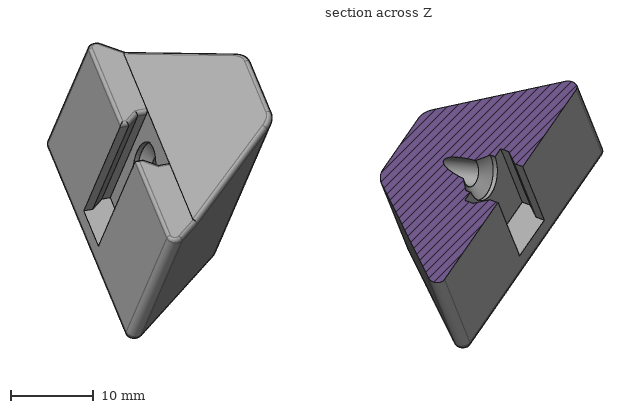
import cadquery as cq
import math

TURN_ANGLE = -45.0

LEAN_ANGLE = 20.0
FRONT_WIDTH = 40.0
THICKNESS = 14.0
FRONT_CORNER_RADIUS = 1.0
BACK_CORNER_RADIUS = 3.0
RIM_RADIUS = 0.5

SHELF_HEIGHT = 15.0
SHELF_DEPTH = 3.5
ROOF_ANGLE = 23.0

SLOT_FLOOR_HEIGHT = 2.1
SLOT_MOUTH_WIDTH = 6.6
SLOT_BACK_WIDTH = 9.5
SLOT_BACK_STRAIGHT = 1.0

HOLE_HEIGHT = 10.2
HOLE_DIAMETER = 3.4
HEAD_DIAMETER = 6.5
HEAD_RECESS = 0.6
COUNTERSINK_DEPTH = 1.1

LEAN = math.radians(LEAN_ANGLE)
LEAN_DIRECTION = cq.Vector(0, math.sin(LEAN), math.cos(LEAN))
INWARD = cq.Vector(0, math.cos(LEAN), -math.sin(LEAN))
REACH = 2 * FRONT_WIDTH
TOLERANCE = 1e-4


def leaning_plane(origin=(0, 0, 0)):
    """Plane across the lean direction: x runs along U, y inward from the front face."""
    return cq.Plane(origin=origin, xDir=(1, 0, 0), normal=LEAN_DIRECTION.toTuple())


def leaning_prism(outline):
    """Sweep a closed outline of (U, depth) points along the lean direction, both ways."""
    return cq.Workplane(leaning_plane()).polyline(outline).close().extrude(REACH, both=True)


def slot_back_point(height):
    """Point in the middle of the slot's back wall at the given height."""
    v = SHELF_DEPTH / math.cos(LEAN) + height * math.tan(LEAN)
    return cq.Vector(0, v, height)


def round_corner(body, corner_u, depth, radius):
    """Round the leaning edge at the given U and depth behind the front face."""

    def is_corner(edge):
        center = edge.Center()
        return math.hypot(center.x - corner_u, center.dot(INWARD) - depth) < TOLERANCE

    return body.edges().filter(is_corner).fillet(radius)


def make_half_body():
    """Right half of the trapezoid, cut to the side profile of base, shelf and roof."""
    half_front = FRONT_WIDTH / 2
    half_back = half_front - THICKNESS
    prism = leaning_prism([
        (0, 0),
        (half_front, 0),
        (half_back, THICKNESS),
        (0, THICKNESS),
    ])
    prism = round_corner(prism, half_front, 0, FRONT_CORNER_RADIUS)
    prism = round_corner(prism, half_back, THICKNESS, BACK_CORNER_RADIUS)

    crease_v = slot_back_point(SHELF_HEIGHT).y
    roof_rise = (REACH - crease_v) * math.tan(math.radians(ROOF_ANGLE))
    side_profile = (
        cq.Workplane("YZ")
        .polyline([
            (-REACH, 0),
            (REACH, 0),
            (REACH, SHELF_HEIGHT + roof_rise),
            (crease_v, SHELF_HEIGHT),
            (-REACH, SHELF_HEIGHT),
        ])
        .close()
        .extrude(FRONT_WIDTH)
    )
    return prism.intersect(side_profile)


def cut_half_slot(body):
    """Cut the right half of the slot: narrow mouth, 45 degree flare, wide straight wall."""
    half_mouth = SLOT_MOUTH_WIDTH / 2
    half_back = SLOT_BACK_WIDTH / 2
    flare_end = SHELF_DEPTH - SLOT_BACK_STRAIGHT
    flare_start = flare_end - (half_back - half_mouth)
    slot = leaning_prism([
        (0, 0),
        (half_mouth, 0),
        (half_mouth, flare_start),
        (half_back, flare_end),
        (half_back, SHELF_DEPTH),
        (0, SHELF_DEPTH),
    ])
    above_floor = cq.Workplane().box(REACH, REACH, REACH, centered=(True, True, False))
    above_floor = above_floor.translate((0, 0, SLOT_FLOOR_HEIGHT))
    return body.cut(slot.intersect(above_floor))


def round_rims(body):
    """Round the base, then the shelf and roof except for the crease between them."""
    crease_point = slot_back_point(SHELF_HEIGHT)

    def is_outer(edge):
        return edge.Center().x > TOLERANCE

    def is_top(edge):
        return edge.Center().z > SHELF_HEIGHT - TOLERANCE

    def is_crease(edge):
        offset = edge.Center() - crease_point
        return math.hypot(offset.y, offset.z) < TOLERANCE

    body = body.faces("<Z").edges().filter(is_outer).fillet(RIM_RADIUS)
    top_rim = body.edges().filter(lambda edge: is_outer(edge) and is_top(edge) and not is_crease(edge))
    return top_rim.fillet(RIM_RADIUS)


def cut_screw_hole(body):
    """Cut the head recess, countersink and through hole as one turned shape."""
    hole_radius = HOLE_DIAMETER / 2
    head_radius = HEAD_DIAMETER / 2
    countersink_end = HEAD_RECESS + COUNTERSINK_DEPTH
    cutter = (
        cq.Workplane(leaning_plane(slot_back_point(HOLE_HEIGHT).toTuple()))
        .polyline([
            (0, 0),
            (head_radius, 0),
            (head_radius, HEAD_RECESS),
            (hole_radius, countersink_end),
            (hole_radius, THICKNESS),
            (0, THICKNESS),
        ])
        .close()
        .revolve(360, (0, 0, 0), (0, 1, 0))
    )
    return body.cut(cutter)


half = make_half_body()
half = cut_half_slot(half)
half = round_rims(half)
wedge = half.union(half.mirror("YZ"))
wedge = cut_screw_hole(wedge)
result = wedge.rotate((0, 0, 0), (0, 0, 1), TURN_ANGLE)